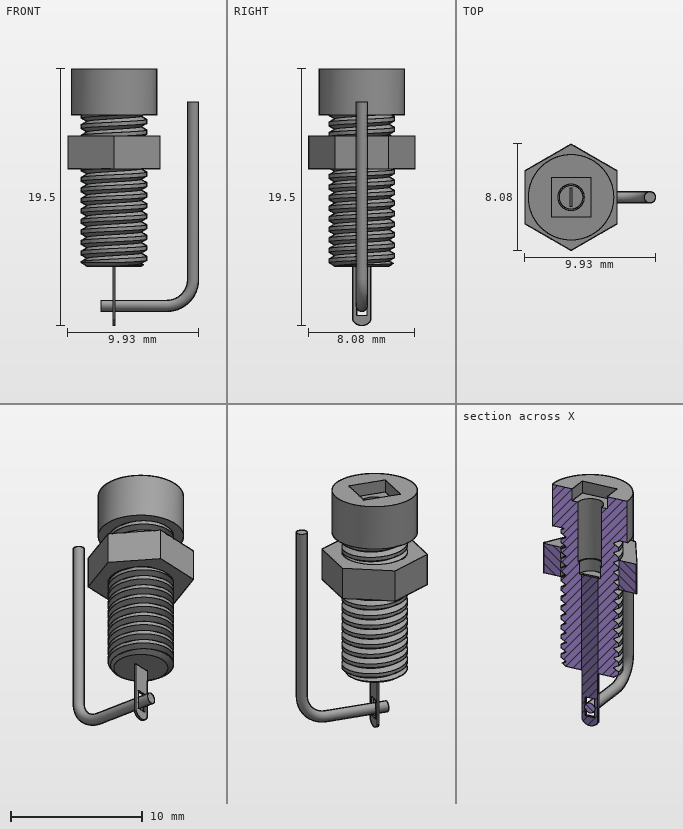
import cadquery as cq
import math


OVERALL_LENGTH = 19.51
OVERALL_WIDTH = 9.93

HOUSING_LENGTH = 15.0
HEAD_DIAMETER = 6.5
HEAD_HEIGHT = 3.5
SHANK_LENGTH = HOUSING_LENGTH - HEAD_HEIGHT
POCKET_SIDE = 3.0
POCKET_DEPTH = 1.0
POCKET_FLOOR_Z = HOUSING_LENGTH - POCKET_DEPTH

BORE_DIAMETER = 2.0
BORE_DEPTH = 5.0
STEP_DIAMETER = 1.8
STEP_DEPTH = 1.0
BORE_FLOOR_Z = POCKET_FLOOR_Z - BORE_DEPTH - STEP_DEPTH

THREAD_DIAMETER = 5.0
THREAD_PITCH = 0.8
GROOVE_WIDTH = 0.5
GROOVE_DEPTH = GROOVE_WIDTH * math.cos(math.radians(30))
GROOVE_START_Z = 0.21
THREAD_RUNOUT = 2 * THREAD_PITCH
END_CHAMFER_WIDTH = GROOVE_DEPTH
END_CHAMFER_HEIGHT = 0.3

NUT_ACROSS_FLATS = 7.0
NUT_HEIGHT = 2.5
NUT_GAP = 1.6
NUT_BOTTOM_Z = SHANK_LENGTH - NUT_GAP - NUT_HEIGHT

TERMINAL_TIP_Z = HOUSING_LENGTH - OVERALL_LENGTH
TERMINAL_WIDTH = 1.39
TERMINAL_THICKNESS = 0.18
TIP_ROUNDING_HEIGHT = 0.43
EYE_WIDTH = 0.76
EYE_HEIGHT = 1.55
EYE_CENTER_Z = TERMINAL_TIP_Z + 1.56

WIRE_DIAMETER = 0.85
WIRE_BEND_RADIUS = 1.99
WIRE_START_X = -1.0
WIRE_LOW_Z = -3.0
WIRE_TOP_Z = 12.5
WIRE_UPRIGHT_X = OVERALL_WIDTH - NUT_ACROSS_FLATS / 2 - WIRE_DIAMETER / 2


def make_thread_groove():
    """V-shaped helical cutter that runs past both ends of the shank."""
    crest_radius = THREAD_DIAMETER / 2
    root_radius = crest_radius - GROOVE_DEPTH
    mouth_radius = crest_radius + GROOVE_DEPTH / 2
    mouth_half_width = GROOVE_WIDTH / 2 * (mouth_radius - root_radius) / GROOVE_DEPTH

    start_z = GROOVE_START_Z - THREAD_RUNOUT
    helix_height = SHANK_LENGTH + 2 * THREAD_RUNOUT
    helix = cq.Wire.makeHelix(THREAD_PITCH, helix_height, crest_radius, cq.Vector(0, 0, start_z))
    profile = cq.Workplane("XZ").polyline([
        (root_radius, start_z),
        (mouth_radius, start_z - mouth_half_width),
        (mouth_radius, start_z + mouth_half_width),
    ]).close()
    return profile.sweep(cq.Workplane(helix), isFrenet=True)


def make_shank():
    """Threaded shank: an overlong threaded bar trimmed to length, with a chamfered lower end."""
    bar_overhang = 2 * THREAD_RUNOUT
    bar = (
        cq.Workplane("XY", origin=(0, 0, -bar_overhang))
        .circle(THREAD_DIAMETER / 2)
        .extrude(SHANK_LENGTH + 2 * bar_overhang)
    )
    threaded_bar = bar.cut(make_thread_groove())

    end_radius = THREAD_DIAMETER / 2 - END_CHAMFER_WIDTH
    outer_radius = HEAD_DIAMETER / 2
    cone_height = (outer_radius - end_radius) * END_CHAMFER_HEIGHT / END_CHAMFER_WIDTH
    trim = (
        cq.Workplane("XZ")
        .polyline([
            (0, 0),
            (end_radius, 0),
            (outer_radius, cone_height),
            (outer_radius, SHANK_LENGTH),
            (0, SHANK_LENGTH),
        ])
        .close()
        .revolve(360, (0, 0, 0), (0, 1, 0))
    )
    return threaded_bar.intersect(trim)


def make_housing(terminal):
    """Head and threaded shank with the square pocket, stepped bore and terminal slot."""
    head = cq.Workplane("XY", origin=(0, 0, SHANK_LENGTH)).circle(HEAD_DIAMETER / 2).extrude(HEAD_HEIGHT)
    housing = make_shank().union(head)

    pocket = (
        cq.Workplane("XY", origin=(0, 0, POCKET_FLOOR_Z))
        .rect(POCKET_SIDE, POCKET_SIDE)
        .extrude(POCKET_DEPTH)
    )
    step = (
        cq.Workplane("XY", origin=(0, 0, BORE_FLOOR_Z))
        .circle(STEP_DIAMETER / 2)
        .extrude(STEP_DEPTH)
    )
    bore = (
        cq.Workplane("XY", origin=(0, 0, BORE_FLOOR_Z + STEP_DEPTH))
        .circle(BORE_DIAMETER / 2)
        .extrude(BORE_DEPTH)
    )
    return housing.cut(pocket).cut(bore).cut(step).cut(terminal)


def make_nut():
    """Hex nut with corners on the Y axis and a plain bore that fits the thread crests."""
    across_corners = NUT_ACROSS_FLATS / math.cos(math.radians(30))
    return (
        cq.Workplane("XY", origin=(0, 0, NUT_BOTTOM_Z))
        .transformed(rotate=(0, 0, 90))
        .polygon(6, across_corners)
        .circle(THREAD_DIAMETER / 2)
        .extrude(NUT_HEIGHT)
    )


def make_wire():
    """Round wire: a low run along X, a quarter bend and an upright run along Z."""
    bend_start_x = WIRE_UPRIGHT_X - WIRE_BEND_RADIUS
    bend_end_z = WIRE_LOW_Z + WIRE_BEND_RADIUS
    path = (
        cq.Workplane("XZ")
        .moveTo(WIRE_START_X, WIRE_LOW_Z)
        .lineTo(bend_start_x, WIRE_LOW_Z)
        .tangentArcPoint((WIRE_UPRIGHT_X, bend_end_z), relative=False)
        .lineTo(WIRE_UPRIGHT_X, WIRE_TOP_Z)
    )
    section = cq.Workplane("YZ", origin=(WIRE_START_X, 0, WIRE_LOW_Z)).circle(WIRE_DIAMETER / 2)
    return section.sweep(path)


def make_terminal(wire):
    """Flat strip from the bore floor to a rounded tip, with a wire eye that the wire fits."""
    half_width = TERMINAL_WIDTH / 2
    shoulder_z = TERMINAL_TIP_Z + TIP_ROUNDING_HEIGHT
    strip = (
        cq.Workplane("YZ")
        .moveTo(-half_width, BORE_FLOOR_Z)
        .lineTo(-half_width, shoulder_z)
        .threePointArc((0, TERMINAL_TIP_Z), (half_width, shoulder_z))
        .lineTo(half_width, BORE_FLOOR_Z)
        .close()
        .extrude(TERMINAL_THICKNESS / 2, both=True)
    )
    eye = (
        cq.Workplane("YZ", origin=(0, 0, EYE_CENTER_Z))
        .rect(EYE_WIDTH, EYE_HEIGHT)
        .extrude(TERMINAL_THICKNESS, both=True)
    )
    return strip.cut(eye).cut(wire)


wire = make_wire()
terminal = make_terminal(wire)
housing = make_housing(terminal)
nut = make_nut()

result = cq.Compound.makeCompound([housing.val(), nut.val(), terminal.val(), wire.val()])